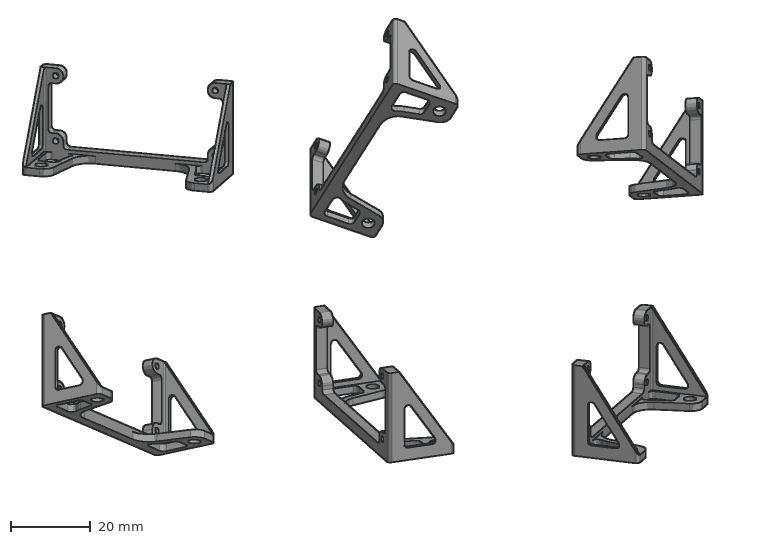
import cadquery as cq
import math

width = 50.0
depth = 18.0
height = 24.0

back_thickness = 3.0
foot_thickness = 2.0
gusset_thickness = 1.0
back_front_y = depth - back_thickness
left = -width / 2
outer_edge_radius = 1.0

post_width = 2.0
rail_height = 3.0
lug_radius = 2.0
lug_hole_diameter = 1.5
lug_inset = 4.0
lower_lug_z = 5.0
upper_lug_z = height - lug_radius
frame_inner_radius = 1.0

foot_front_width = 7.0
foot_back_width = 10.5
foot_tip_radius = 3.0
foot_root_radius = 5.0
foot_hole_diameter = 3.2
foot_hole_inset = 4.0
foot_hole_y = 3.5

foot_window_inset = 1.75
foot_window_front_y = 6.8
foot_window_radius = 1.2

gusset_root_radius = 0.4
gusset_window_back_y = 13.6
gusset_window_bottom_z = 3.3
gusset_rim = 2.8
gusset_window_radius = 1.0


def block(x_size, y_size, z_size, x, y, z):
    """Box placed by its minimum corner."""
    return cq.Workplane("XY").box(x_size, y_size, z_size, centered=False).translate((x, y, z))


def back_lug(z):
    """Tab with a round end, reaching inward from the left post."""
    x = left + lug_inset
    tab = block(lug_inset, back_thickness, 2 * lug_radius, left, back_front_y, z - lug_radius)
    end = cq.Workplane("XZ", origin=(x, depth, z)).circle(lug_radius).extrude(back_thickness)
    return tab.union(end)


def back_half():
    """Left half of the back frame: post, bottom rail and two screw lugs."""
    lug_end = lug_inset + lug_radius
    frame = block(post_width, back_thickness, height, left, back_front_y, 0)
    frame = frame.union(block(width / 2, back_thickness, rail_height, left, back_front_y, 0))
    frame = frame.union(block(lug_end, back_thickness, lower_lug_z, left, back_front_y, 0))
    frame = frame.union(back_lug(lower_lug_z)).union(back_lug(upper_lug_z))
    inner_corners = [
        (post_width, upper_lug_z - lug_radius),
        (post_width, lower_lug_z + lug_radius),
        (lug_end, rail_height),
    ]
    for inset, z in inner_corners:
        corner = cq.selectors.NearestToPointSelector((left + inset, depth - back_thickness / 2, z))
        frame = frame.edges("|Y").edges(corner).fillet(frame_inner_radius)
    holes = (
        cq.Workplane("XZ", origin=(left + lug_inset, depth, 0))
        .pushPoints([(0, lower_lug_z), (0, upper_lug_z)])
        .circle(lug_hole_diameter / 2)
        .extrude(back_thickness)
    )
    return frame.cut(holes)


def foot_outline(inset):
    """Foot plate shrunk by an inset on its outer and sloping sides."""
    slope_run = foot_back_width - foot_front_width
    slope_length = math.hypot(slope_run, back_front_y)
    normal_x = back_front_y / slope_length
    normal_y = -slope_run / slope_length

    tip_x = left + foot_front_width - foot_tip_radius * (1 + normal_y) / normal_x
    tip_y = foot_tip_radius
    tip_reach = foot_tip_radius - inset

    root_x = left + foot_back_width + foot_root_radius * (1 + normal_y) / normal_x
    root_y = back_front_y - foot_root_radius
    root_reach = foot_root_radius + inset

    root_end_x = root_x - math.sqrt(root_reach**2 - foot_root_radius**2)
    end_angle = math.atan2(foot_root_radius, root_end_x - root_x)
    start_angle = math.atan2(-normal_y, -normal_x)
    middle_angle = (start_angle + end_angle) / 2
    tip_angle = (math.atan2(normal_y, normal_x) - math.pi / 2) / 2
    return (
        cq.Workplane("XY")
        .moveTo(left + inset, inset)
        .lineTo(tip_x, inset)
        .threePointArc(
            (tip_x + tip_reach * math.cos(tip_angle), tip_y + tip_reach * math.sin(tip_angle)),
            (tip_x + tip_reach * normal_x, tip_y + tip_reach * normal_y),
        )
        .lineTo(root_x - root_reach * normal_x, root_y - root_reach * normal_y)
        .threePointArc(
            (root_x + root_reach * math.cos(middle_angle), root_y + root_reach * math.sin(middle_angle)),
            (root_end_x, back_front_y),
        )
        .lineTo(left + inset, back_front_y)
        .close()
        .extrude(foot_thickness)
    )


def left_foot():
    """Foot plate with a screw hole and a window that follows its outline."""
    window = foot_outline(foot_window_inset)
    window = window.cut(block(width, foot_window_front_y, foot_thickness, left, 0, 0))
    corners = window.edges("|Z and (<Y or >Y)")
    window = corners.fillet(foot_window_radius)
    hole = (
        cq.Workplane("XY", origin=(left + foot_hole_inset, foot_hole_y, 0))
        .circle(foot_hole_diameter / 2)
        .extrude(foot_thickness)
    )
    return foot_outline(0).cut(window).cut(hole)


def left_gusset():
    """Triangular side wall with a root fillet against the back frame."""
    inner_x = left + gusset_thickness
    profile = [(0, 0), (back_front_y, 0), (back_front_y, height), (0, foot_thickness)]
    wall = cq.Workplane("YZ", origin=(left, 0, 0)).polyline(profile).close()
    wall = wall.extrude(gusset_thickness)

    fillet_strip = block(
        gusset_root_radius, gusset_root_radius, height, inner_x, back_front_y - gusset_root_radius, 0
    )
    fillet_round = (
        cq.Workplane("XY", origin=(inner_x + gusset_root_radius, back_front_y - gusset_root_radius, 0))
        .circle(gusset_root_radius)
        .extrude(height)
    )
    below_slope = cq.Workplane("YZ", origin=(left, 0, 0)).polyline(profile).close().extrude(post_width)
    return wall.union(fillet_strip.cut(fillet_round).intersect(below_slope))


def gusset_window():
    """Rounded triangular opening parallel to the sloping edge of the gusset."""
    rise = height - foot_thickness
    slope = rise / back_front_y
    shift = gusset_rim * math.hypot(rise, back_front_y) / rise
    tip_y = shift + (gusset_window_bottom_z - foot_thickness) / slope
    top_z = foot_thickness + slope * (gusset_window_back_y - shift)
    corners = [
        (tip_y, gusset_window_bottom_z),
        (gusset_window_back_y, gusset_window_bottom_z),
        (gusset_window_back_y, top_z),
    ]
    opening = cq.Workplane("YZ", origin=(left, 0, 0)).polyline(corners).close().extrude(gusset_thickness)
    return opening.edges("|X").fillet(gusset_window_radius)


def rounded_envelope():
    """Block bounding the part, with its outer vertical edges rounded."""
    return block(width, depth, height, left, 0, 0).edges("|Z").fillet(outer_edge_radius)


half = back_half().union(left_foot()).union(left_gusset()).cut(gusset_window())
result = half.union(half.mirror("YZ")).intersect(rounded_envelope()).clean()